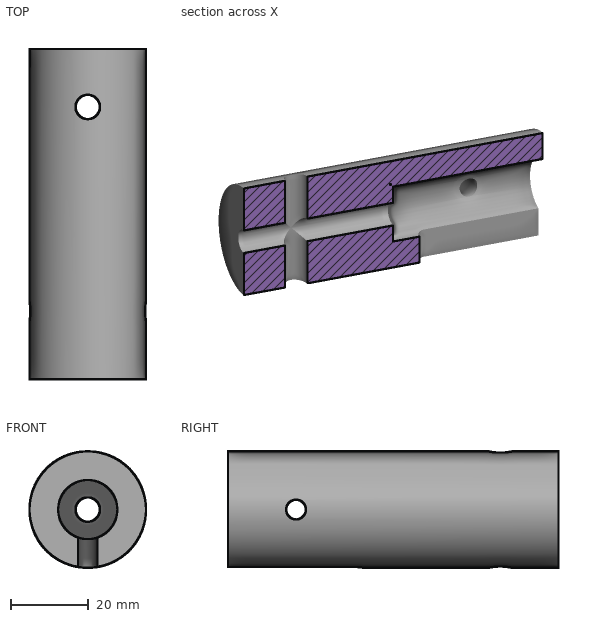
import cadquery as cq

length = 85.0
outer_diameter = 30.0
front_y = -length / 2
back_y = length / 2

socket_diameter = 15.2
socket_depth = 42.5
axial_hole_diameter = 6.2

pin_hole_diameter = 6.2
pin_hole_from_back = 15.0
side_hole_diameter = 5.0
side_hole_from_front = 17.5

slot_width = 5.0
slot_length = 35.0


def cylinder_along_y(diameter, start_y, depth):
    """Cylinder on the sleeve axis, running from start_y toward +Y."""
    base = cq.Workplane("XZ", origin=(0, start_y, 0))
    return base.circle(diameter / 2).extrude(-depth)


def vertical_pin_hole():
    """Hole along Z through both walls near the back end."""
    base = cq.Workplane("XY").center(0, back_y - pin_hole_from_back)
    return base.circle(pin_hole_diameter / 2).extrude(outer_diameter, both=True)


def horizontal_side_hole():
    """Hole along X through both walls near the front end."""
    base = cq.Workplane("YZ").center(front_y + side_hole_from_front, 0)
    return base.circle(side_hole_diameter / 2).extrude(outer_diameter, both=True)


def lower_slot():
    """Slot from the sleeve axis down through the lower wall."""
    half_width = slot_width / 2
    arc_start_y = front_y + slot_length - half_width
    return (
        cq.Workplane("XY")
        .moveTo(-half_width, front_y)
        .lineTo(-half_width, arc_start_y)
        .threePointArc((0, front_y + slot_length), (half_width, arc_start_y))
        .lineTo(half_width, front_y)
        .close()
        .extrude(-outer_diameter)
    )


sleeve = cylinder_along_y(outer_diameter, front_y, length)
socket = cylinder_along_y(socket_diameter, front_y, socket_depth)
axial_hole = cylinder_along_y(axial_hole_diameter, front_y, length)

result = (
    sleeve.cut(socket)
    .cut(axial_hole)
    .cut(vertical_pin_hole())
    .cut(horizontal_side_hole())
    .cut(lower_slot())
)